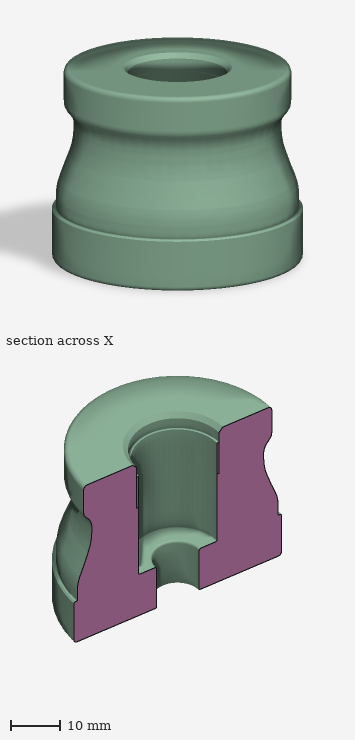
import cadquery as cq
import math

base_radius = 25.4
total_height = 40.0

base_height = 10.8
base_bottom_fillet = 0.9
base_top_chamfer = 0.35

shoulder_radius = 24.6
shoulder_top = 13.3
shoulder_arc_radius = 10.0
taper_angle = math.radians(20)
waist_radius = 21.05
waist_bottom = 27.35
waist_top = 28.4
waist_arc_radius = 15.0

head_radius = 23.0
undercut_angle = math.radians(45)
undercut_arc_radius = 4.0
head_bottom_arc_radius = 2.0
head_bottom = 32.9
head_top_fillet = 1.0

mouth_chamfer = 1.0
seat_radius = 10.0
bore_radius = 9.5
bore_floor = base_height
floor_fillet = 0.3
through_radius = 5.2
through_edge_fillet = 0.5

sleeve_top = total_height - 3.5
sleeve_bottom = 28.4


def arc_point(tangent_radius, tangent_height, arc_radius, angle, outward, upward):
    """Point on an arc that leaves a vertical wall, after turning by the angle.

    outward and upward are +1 or -1: the direction in which the arc runs.
    """
    return (
        tangent_radius + outward * arc_radius * (1 - math.cos(angle)),
        tangent_height + upward * arc_radius * math.sin(angle),
    )


def add_arc(profile, wall, arc_radius, angle, outward, upward, leaves_wall):
    """Add an arc starting (leaves_wall) or ending tangent to a vertical wall at the point wall."""
    middle = arc_point(*wall, arc_radius, angle / 2, outward, upward)
    far_end = arc_point(*wall, arc_radius, angle, outward, upward)
    if leaves_wall:
        return profile.threePointArc(middle, far_end)
    return profile.lineTo(*far_end).threePointArc(middle, wall)


def make_waisted_blank():
    """Solid of revolution with the whole outer shape except its edge rounding."""
    shoulder = (shoulder_radius, shoulder_top)
    lower_waist = (waist_radius, waist_bottom)
    upper_waist = (waist_radius, waist_top)
    head_lower_edge = (head_radius, head_bottom)

    profile = (
        cq.Workplane("XZ")
        .lineTo(base_radius, 0)
        .lineTo(base_radius, base_height)
        .lineTo(shoulder_radius, base_height)
        .lineTo(*shoulder)
    )
    profile = add_arc(profile, shoulder, shoulder_arc_radius, taper_angle, -1, 1, True)
    profile = add_arc(profile, lower_waist, waist_arc_radius, taper_angle, 1, -1, False)
    profile = profile.lineTo(*upper_waist)
    profile = add_arc(profile, upper_waist, undercut_arc_radius, undercut_angle, 1, 1, True)
    profile = add_arc(profile, head_lower_edge, head_bottom_arc_radius, undercut_angle, -1, -1, False)
    profile = profile.lineTo(head_radius, total_height).lineTo(0, total_height).close()
    return profile.revolve(360, (0, 0, 0), (0, 1, 0))


def round_outer_edges(blank):
    return (
        blank.faces(">Z").edges().fillet(head_top_fillet)
        .faces("<Z").edges().fillet(base_bottom_fillet)
        .edges(cq.selectors.RadiusNthSelector(-1)).edges(">Z").chamfer(base_top_chamfer)
    )


def cylinder(radius, bottom, top):
    return cq.Workplane("XY").workplane(offset=bottom).circle(radius).extrude(top - bottom)


def cut_bore(body):
    """Cut the bore, the sleeve seat and the through hole, then finish their edges."""
    bore = cylinder(bore_radius, bore_floor, total_height).faces("<Z").edges().fillet(floor_fillet)
    through_hole = cylinder(through_radius, 0, total_height)
    seat = cylinder(seat_radius, sleeve_bottom, total_height)
    body = body.cut(bore).cut(through_hole)
    body = body.edges(cq.selectors.BoxSelector(
        (-through_radius, -through_radius, bore_floor - floor_fillet),
        (through_radius, through_radius, bore_floor + floor_fillet / 2),
    )).edges(cq.selectors.RadiusNthSelector(0)).fillet(through_edge_fillet)
    body = body.cut(seat)
    return body.faces(">Z").edges(cq.selectors.RadiusNthSelector(0)).chamfer(mouth_chamfer)


def make_housing():
    return cut_bore(round_outer_edges(make_waisted_blank()))


def make_sleeve():
    outer = cylinder(seat_radius, sleeve_bottom, sleeve_top)
    return outer.cut(cylinder(bore_radius, sleeve_bottom, sleeve_top))


housing = make_housing()
sleeve = make_sleeve()

result = cq.Compound.makeCompound([housing.val(), sleeve.val()])